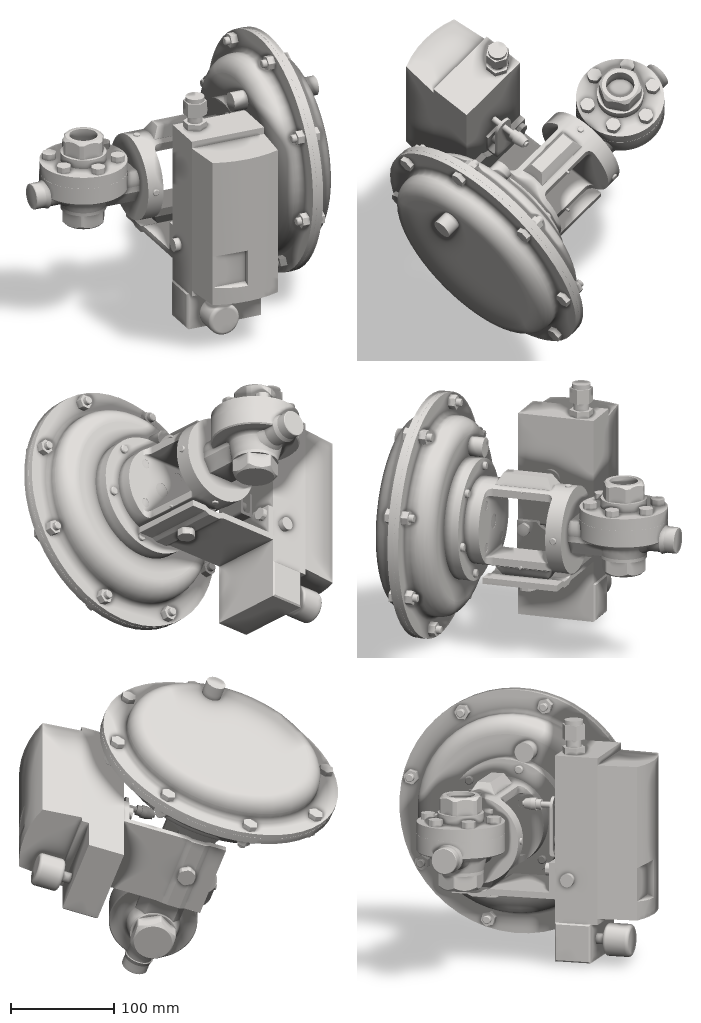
import cadquery as cq
import math


DIAPHRAGM_Y = 194.7
DIAPHRAGM_RADIUS = 241.5 / 2
DIAPHRAGM_THICKNESS = 2.5
RIM_RADIUS = 241.0 / 2
RIM_HALF_THICKNESS = 11.0 / 2
DISH_RADIUS = 98.5
NEAR_DISH_DEPTH = 31.0
FAR_DISH_DEPTH = 30.5
DISH_ROUNDING = 16.5
RIM_FILLET = 4.0

RIM_BOLT_COUNT = 8
RIM_BOLT_CIRCLE_RADIUS = 110.8
RIM_BOLT_FIRST_ANGLE = 30
RIM_HEAD_FLATS = 13.0
RIM_NUT_FLATS = 12.7
RIM_NUT_TURNED_DIAMETER = 14.5
RIM_HEAD_HEIGHT = 5.3
RIM_NUT_HEIGHT = 7.0
STUD_DIAMETER = 8.0
STUD_TIP_DIAMETER = 6.5
STUD_LENGTH = 11.8

AIR_PORT_X = 18.3
AIR_PORT_Z = 67.7
AIR_PORT_RADIUS = 19.2 / 2
AIR_PORT_LENGTH = 14.5

MOUNT_RADIUS = 120.0 / 2
MOUNT_THICKNESS = 14.5
MOUNT_SCREW_COUNT = 6
MOUNT_SCREW_CIRCLE_RADIUS = 52.3
MOUNT_SCREW_FIRST_ANGLE = 15
MOUNT_SCREW_DIAMETER = 8.3
MOUNT_SCREW_HEIGHT = 3.2

YOKE_RADIUS = 86.0 / 2
YOKE_END_Y = 49.3
WINDOW_NEAR_Y = 65.5
WINDOW_FAR_Y = 134.0
WINDOW_HALF_HEIGHT = 62.3 / 2
WINDOW_FLOOR_FILLET = 1.8
ARM_HALF_WIDTH = 18.5
WINDOW_CORNER_RADIUS = 6.2

RIB_Y = 99.0
RIB_LENGTH = 58.0
RIB_WIDTH = 25.5
RIB_BASE_Z = 41.5
RIB_TOP_Z = 52.0
RIB_SLOPE_RUN = 6.2

MARK_DIAMETER = 2.7
MARK_LENGTH = 3.2
MARK_Z = 38.0
STEM_HOLE_DIAMETER = 14.8
SCREW_HOLE_DIAMETER = 9.5
SCREW_HOLE_SPACING = 42.5
HOLE_DEPTH = 0.3
SET_SCREW_DIAMETER = 6.5
SET_SCREW_Y = 57.3
SET_SCREW_PROTRUSION = 1.8
SET_SCREW_CHAMFER = 0.5

VALVE_RADIUS = 86.0 / 2
VALVE_LID_RADIUS = 85.7 / 2
VALVE_BOTTOM_Z = -1.0
VALVE_EDGE_CHAMFER = 1.2
VALVE_SPLIT_Z = 17.0
VALVE_TOP_Z = 29.0
COLLAR_RADIUS = 22.5
COLLAR_TOP_Z = 37.8
VALVE_BOLT_COUNT = 6
VALVE_BOLT_CIRCLE_RADIUS = 33.5
VALVE_BOLT_FLATS = 13.0
VALVE_BOLT_TURNED_DIAMETER = 14.0
VALVE_BOLT_HEIGHT = 6.2

TOP_PORT_FLATS = 37.8
TOP_PORT_TURNED_DIAMETER = 41.5
TOP_PORT_Z = 55.0
TOP_PORT_BORE_DIAMETER = 27.5
TOP_PORT_BORE_DEPTH = 14.0
BOTTOM_PORT_FLATS = 39.3
BOTTOM_PORT_TURNED_DIAMETER = 44.5
BOTTOM_PORT_Z = -37.5
PORT_CHAMFER = 1.2

SKIRT_TOP_RADIUS = 26.0
SKIRT_FILLET = 3.8
SKIRT_CONE_BOTTOM_Z = -18.5
SKIRT_BOTTOM_Z = -22.0

NECK_HALF_WIDTH = 22.5
NECK_TOP_HALF_WIDTH = 17.0
NECK_BOTTOM_HALF_WIDTH = 14.5
NECK_TOP_Z = 14.0
NECK_WAIST_Z = -6
NECK_BOTTOM_Z = -19.2

SPIGOT_RADIUS = 25.7 / 2
SPIGOT_END_Y = -55.8
SPIGOT_CHAMFER = 0.5
SPIGOT_FLARES = ((-20.7, -27.5, 16.8), (-41.5, -45.8, 14.5))

CASE_X = 77.5
CASE_DEPTH = 43.0
CASE_NEAR_Y = 59
CASE_FAR_Y = 136.8
CASE_MIDDLE_Y = (CASE_NEAR_Y + CASE_FAR_Y) / 2
CASE_TOP_Z = 86.5
CASE_BOTTOM_Z = -79.0

COVER_TOP_Z = 79.5
COVER_BOTTOM_Z = -72.7
COVER_EDGE_X = 159.5
COVER_CROWN_X = 166.0
COVER_TAPER = 3.8
GRIP_TOP_Z = -20.7
GRIP_BOTTOM_Z = -53.8
GRIP_FLARE = 2.5

SUPPLY_BLOCK_LENGTH = 36.0
SUPPLY_BLOCK_NEAR_Y = 57.5
SUPPLY_BLOCK_BOTTOM_Z = -117.3
SUPPLY_BLOCK_CHAMFER = 1.5
KNOB_Y = 81.2
KNOB_Z = -97.0
KNOB_STEM_RADIUS = 5.3
KNOB_STEM_LENGTH = 9.5
KNOB_RADIUS = 32.2 / 2
KNOB_LENGTH = 26.3
KNOB_ROUNDING = 3.5

FITTING_X = 91.0
FITTING_Y = 76.5
FITTING_FLATS = 20.0
FITTING_BASE_HEIGHT = 6.5
FITTING_NECK_DIAMETER = 14.8
FITTING_NECK_HEIGHT = 7.7
FITTING_NUT_HEIGHT = 14.5
FITTING_TIP_DIAMETER = 18.3
FITTING_TIP_HEIGHT = 4.5

VENT_Z = -35.5
VENT_RADIUS = 6.5
VENT_LENGTH = 6.2

BRACKET_THICKNESS = 6.2
BRACKET_END_X = -27.8
BRACKET_NEAR_Y = 58.8
BRACKET_FAR_Y = 135.5
BRACKET_TOP_Z = -49.5
BRACKET_WALL_TOP_Z = -20.0
BEND_HALF_WIDTH = 11.5
BEND_FLOOR_HALF_WIDTH = 6.5
SCALLOP_HALF_WIDTH = 17.5
SCALLOP_DEPTH = 9.2
RIB_BOLT_FLATS = 16.2
RIB_BOLT_TURNED_DIAMETER = 17.5
RIB_BOLT_HEIGHT = 7.0
CASE_BOLT_YS = (66.8, 128.0)
CASE_BOLT_Z = -28.0
CASE_BOLT_FLATS = 11.8
CASE_BOLT_TURNED_DIAMETER = 12.5
CASE_BOLT_HEIGHT = 4.7

LEVER_Y = 99.0
LEVER_WIDTH = 19.8
LEVER_THICKNESS = 3
LEVER_X = 62.5
LEVER_TOP_Z = 37.2
LEVER_BOTTOM_Z = -20.0
LEVER_LEG_TOP_Z = 5.0
LEVER_INNER_BEND_RADIUS = 3
LEVER_OUTER_BEND_RADIUS = 2.5
LEVER_SHAFT_Z = -6.5
LEVER_SHAFT_RADIUS = 5.3
PIN_Z = 28.7
PIN_END_X = 76.2
PIN_STEPS = ((3, 24.5), (5.0, 5.0), (6.2, 4.7))
PIN_NOSE_RADIUS = 4.7
PIN_NOSE_LENGTH = 7.0
PIN_TIP_RADIUS = 2.7
PIN_TIP_LENGTH = 2.0


def rod(radius, start, direction, length):
    """A cylinder from its start point along a direction."""
    return cq.Workplane(cq.Solid.makeCylinder(radius, length, cq.Vector(*start), cq.Vector(*direction)))


def chamfered_rod(radius, start, direction, length, chamfer):
    """A cylinder with its far edge chamfered."""
    far_end = cq.DirectionMinMaxSelector(cq.Vector(*direction), True)
    return rod(radius, start, direction, length).faces(far_end).chamfer(chamfer)


def taper(start_radius, end_radius, start, direction, length):
    """A truncated cone from its start point along a direction."""
    return cq.Workplane(
        cq.Solid.makeCone(start_radius, end_radius, length, cq.Vector(*start), cq.Vector(*direction))
    )


def hexagon(flats, start, direction, corner, height, turned_diameter=None):
    """A hexagonal prism with a corner in a given direction; turning cuts its corners off round."""
    plane = cq.Plane(origin=start, xDir=corner, normal=direction)
    prism = cq.Workplane(plane).polygon(6, flats / math.cos(math.pi / 6)).extrude(height)
    if turned_diameter:
        prism = prism.intersect(cq.Workplane(plane).circle(turned_diameter / 2).extrude(height))
    return prism


def block(x_range, y_range, z_range):
    """A box between two limits along each axis."""
    lows, highs = zip(x_range, y_range, z_range)
    sizes = [high - low for low, high in zip(lows, highs)]
    return cq.Workplane().box(*sizes, centered=False).translate(lows)


def spaced_angles(count, first):
    """Equally spaced angles of a bolt circle, in radians."""
    return [math.radians(first + 360 * index / count) for index in range(count)]


def dish(depth):
    arc_middle = math.sqrt(0.5)
    flat_radius = DISH_RADIUS - DISH_ROUNDING
    wall_end_y = depth - DISH_ROUNDING
    fillet_end_y = RIM_HALF_THICKNESS + RIM_FILLET
    return (
        cq.Workplane("XY")
        .lineTo(RIM_RADIUS, 0)
        .lineTo(RIM_RADIUS, RIM_HALF_THICKNESS)
        .lineTo(DISH_RADIUS + RIM_FILLET, RIM_HALF_THICKNESS)
        .threePointArc(
            (DISH_RADIUS + RIM_FILLET * (1 - arc_middle), fillet_end_y - RIM_FILLET * arc_middle),
            (DISH_RADIUS, fillet_end_y),
        )
        .lineTo(DISH_RADIUS, wall_end_y)
        .threePointArc(
            (flat_radius + DISH_ROUNDING * arc_middle, wall_end_y + DISH_ROUNDING * arc_middle),
            (flat_radius, depth),
        )
        .lineTo(0, depth)
        .close()
        .revolve(360, (0, 0, 0), (0, 1, 0))
    )


def actuator_housing():
    near_dish = dish(NEAR_DISH_DEPTH).mirror("XZ")
    diaphragm = rod(DIAPHRAGM_RADIUS, (0, -DIAPHRAGM_THICKNESS / 2, 0), (0, 1, 0), DIAPHRAGM_THICKNESS)
    housing = dish(FAR_DISH_DEPTH).union(near_dish).union(diaphragm)
    return housing.translate((0, DIAPHRAGM_Y, 0))


def rim_bolt(angle):
    outward = (math.cos(angle), 0, math.sin(angle))
    x = RIM_BOLT_CIRCLE_RADIUS * outward[0]
    z = RIM_BOLT_CIRCLE_RADIUS * outward[2]
    head_seat = (x, DIAPHRAGM_Y + RIM_HALF_THICKNESS, z)
    nut_seat = (x, DIAPHRAGM_Y - RIM_HALF_THICKNESS, z)
    stud_chamfer = (STUD_DIAMETER - STUD_TIP_DIAMETER) / 2
    head = hexagon(RIM_HEAD_FLATS, head_seat, (0, 1, 0), (0, 0, 1), RIM_HEAD_HEIGHT)
    nut = hexagon(RIM_NUT_FLATS, nut_seat, (0, -1, 0), outward, RIM_NUT_HEIGHT, RIM_NUT_TURNED_DIAMETER)
    stud = chamfered_rod(STUD_DIAMETER / 2, nut_seat, (0, -1, 0), STUD_LENGTH, stud_chamfer)
    return [head, nut.union(stud)]


def air_ports():
    far_face = (AIR_PORT_X, DIAPHRAGM_Y + FAR_DISH_DEPTH, AIR_PORT_Z)
    near_face = (AIR_PORT_X, DIAPHRAGM_Y - NEAR_DISH_DEPTH, AIR_PORT_Z)
    far_port = rod(AIR_PORT_RADIUS, far_face, (0, 1, 0), AIR_PORT_LENGTH)
    near_port = rod(AIR_PORT_RADIUS, near_face, (0, -1, 0), AIR_PORT_LENGTH)
    return [far_port, near_port]


def yoke_mount():
    dish_y = DIAPHRAGM_Y - NEAR_DISH_DEPTH
    mount = rod(MOUNT_RADIUS, (0, dish_y, 0), (0, -1, 0), MOUNT_THICKNESS)
    for angle in spaced_angles(MOUNT_SCREW_COUNT, MOUNT_SCREW_FIRST_ANGLE):
        seat = (
            MOUNT_SCREW_CIRCLE_RADIUS * math.cos(angle),
            dish_y - MOUNT_THICKNESS,
            MOUNT_SCREW_CIRCLE_RADIUS * math.sin(angle),
        )
        chamfer = (MOUNT_SCREW_DIAMETER - STUD_TIP_DIAMETER) / 2
        screw = chamfered_rod(MOUNT_SCREW_DIAMETER / 2, seat, (0, -1, 0), MOUNT_SCREW_HEIGHT, chamfer)
        mount = mount.union(screw)
    return mount


def yoke():
    yoke_length = DIAPHRAGM_Y - NEAR_DISH_DEPTH - MOUNT_THICKNESS - YOKE_END_Y
    window_y = (WINDOW_NEAR_Y, WINDOW_FAR_Y)
    body = rod(YOKE_RADIUS, (0, YOKE_END_Y, 0), (0, 1, 0), yoke_length)
    window = block((-YOKE_RADIUS, YOKE_RADIUS), window_y, (-WINDOW_HALF_HEIGHT, WINDOW_HALF_HEIGHT))
    body = body.cut(window.edges("|X").fillet(WINDOW_FLOOR_FILLET))
    side_cut = (
        block((ARM_HALF_WIDTH, 2 * YOKE_RADIUS), window_y, (-YOKE_RADIUS, YOKE_RADIUS))
        .edges("|Z and <X")
        .fillet(WINDOW_CORNER_RADIUS)
    )
    return body.cut(side_cut).cut(side_cut.mirror("YZ"))


def window_holes():
    far_wall = cq.Workplane("XZ", origin=(0, WINDOW_FAR_Y, 0))
    stem_hole = far_wall.circle(STEM_HOLE_DIAMETER / 2).extrude(-HOLE_DEPTH)
    screw_holes = (
        far_wall.rect(SCREW_HOLE_SPACING, SCREW_HOLE_SPACING, forConstruction=True)
        .vertices()
        .circle(SCREW_HOLE_DIAMETER / 2)
        .extrude(-HOLE_DEPTH)
    )
    return stem_hole.union(screw_holes)


def upper_rib():
    height = RIB_TOP_Z - RIB_BASE_Z
    embedded = RIB_BASE_Z - WINDOW_HALF_HEIGHT
    slope = math.degrees(math.atan(RIB_SLOPE_RUN / height))
    base = cq.Workplane("XY", origin=(0, RIB_Y, RIB_BASE_Z)).rect(RIB_WIDTH, RIB_LENGTH)
    foot = cq.Workplane("XY", origin=(0, RIB_Y, RIB_BASE_Z - embedded))
    foot = foot.rect(RIB_WIDTH, RIB_LENGTH).extrude(embedded)
    return base.extrude(height, taper=slope).union(foot)


def upper_stroke_mark():
    root = (0, RIB_Y, MARK_Z)
    return rod(MARK_DIAMETER / 2, root, (-1, 0, 0), ARM_HALF_WIDTH + MARK_LENGTH)


def set_screws():
    length = YOKE_RADIUS + SET_SCREW_PROTRUSION
    directions = ((1, 0, 0), (-1, 0, 0), (0, 0, 1), (0, 0, -1))
    return [
        chamfered_rod(SET_SCREW_DIAMETER / 2, (0, SET_SCREW_Y, 0), direction, length, SET_SCREW_CHAMFER)
        for direction in directions
    ]


def valve_body():
    fillet_shift = SKIRT_FILLET * (1 - math.sqrt(0.5))
    return (
        cq.Workplane("XZ")
        .moveTo(0, VALVE_SPLIT_Z)
        .lineTo(VALVE_RADIUS, VALVE_SPLIT_Z)
        .lineTo(VALVE_RADIUS, VALVE_BOTTOM_Z + VALVE_EDGE_CHAMFER)
        .lineTo(VALVE_RADIUS - VALVE_EDGE_CHAMFER, VALVE_BOTTOM_Z)
        .lineTo(SKIRT_TOP_RADIUS + SKIRT_FILLET, VALVE_BOTTOM_Z)
        .threePointArc(
            (SKIRT_TOP_RADIUS + fillet_shift, VALVE_BOTTOM_Z - fillet_shift),
            (SKIRT_TOP_RADIUS, VALVE_BOTTOM_Z - SKIRT_FILLET),
        )
        .lineTo(COLLAR_RADIUS, SKIRT_CONE_BOTTOM_Z)
        .lineTo(COLLAR_RADIUS, SKIRT_BOTTOM_Z)
        .lineTo(0, SKIRT_BOTTOM_Z)
        .close()
        .revolve(360, (0, 0, 0), (0, 1, 0))
    )


def valve_lid():
    lid = rod(VALVE_LID_RADIUS, (0, 0, VALVE_SPLIT_Z), (0, 0, 1), VALVE_TOP_Z - VALVE_SPLIT_Z)
    collar = rod(COLLAR_RADIUS, (0, 0, VALVE_TOP_Z), (0, 0, 1), COLLAR_TOP_Z - VALVE_TOP_Z)
    return lid.union(collar)


def valve_bolts():
    bolts = []
    for angle in spaced_angles(VALVE_BOLT_COUNT, 0):
        seat = (
            VALVE_BOLT_CIRCLE_RADIUS * math.cos(angle),
            VALVE_BOLT_CIRCLE_RADIUS * math.sin(angle),
            VALVE_TOP_Z,
        )
        bolts.append(
            hexagon(
                VALVE_BOLT_FLATS, seat, (0, 0, 1), (0, 1, 0), VALVE_BOLT_HEIGHT, VALVE_BOLT_TURNED_DIAMETER
            )
        )
    return bolts


def pipe_end(flats, turned_diameter, start_z, end_z):
    up = 1 if end_z > start_z else -1
    height = abs(end_z - start_z)
    start = (0, 0, start_z)
    prism = hexagon(flats, start, (0, 0, up), (0, 1, 0), height)
    envelope = chamfered_rod(
        turned_diameter / 2, start, (0, 0, up), height, (turned_diameter - flats) / 2 + PORT_CHAMFER
    )
    return prism.intersect(envelope)


def top_port():
    port = pipe_end(TOP_PORT_FLATS, TOP_PORT_TURNED_DIAMETER, COLLAR_TOP_Z, TOP_PORT_Z)
    bore = rod(TOP_PORT_BORE_DIAMETER / 2, (0, 0, TOP_PORT_Z), (0, 0, -1), TOP_PORT_BORE_DEPTH)
    return port.cut(bore)


def bottom_port():
    return pipe_end(BOTTOM_PORT_FLATS, BOTTOM_PORT_TURNED_DIAMETER, SKIRT_BOTTOM_Z, BOTTOM_PORT_Z)


def neck():
    shoulder_middle = (
        NECK_TOP_HALF_WIDTH + (NECK_HALF_WIDTH - NECK_TOP_HALF_WIDTH) * math.sqrt(0.5),
        NECK_TOP_Z * math.sqrt(0.5),
    )
    return (
        cq.Workplane("XZ")
        .moveTo(-NECK_TOP_HALF_WIDTH, NECK_TOP_Z)
        .lineTo(NECK_TOP_HALF_WIDTH, NECK_TOP_Z)
        .threePointArc(shoulder_middle, (NECK_HALF_WIDTH, 0))
        .lineTo(NECK_HALF_WIDTH, NECK_WAIST_Z)
        .lineTo(NECK_BOTTOM_HALF_WIDTH, NECK_BOTTOM_Z)
        .lineTo(-NECK_BOTTOM_HALF_WIDTH, NECK_BOTTOM_Z)
        .lineTo(-NECK_HALF_WIDTH, NECK_WAIST_Z)
        .lineTo(-NECK_HALF_WIDTH, 0)
        .threePointArc((-shoulder_middle[0], shoulder_middle[1]), (-NECK_TOP_HALF_WIDTH, NECK_TOP_Z))
        .close()
        .extrude(-YOKE_END_Y)
    )


def spigot():
    barrel = chamfered_rod(SPIGOT_RADIUS, (0, 0, 0), (0, -1, 0), -SPIGOT_END_Y, SPIGOT_CHAMFER)
    flares = [
        taper(start_radius, SPIGOT_RADIUS, (0, start_y, 0), (0, -1, 0), start_y - end_y)
        for start_y, end_y, start_radius in SPIGOT_FLARES
    ]
    return [barrel] + flares


def build_control_valve():
    rib = upper_rib()
    mark = upper_stroke_mark()
    details = [yoke_mount(), yoke(), rib, rib.mirror("XY"), mark, mark.mirror("XY")]
    for angle in spaced_angles(RIM_BOLT_COUNT, RIM_BOLT_FIRST_ANGLE):
        details += rim_bolt(angle)
    details += air_ports() + set_screws()
    details += [valve_body(), valve_lid(), top_port(), bottom_port(), neck()]
    details += valve_bolts() + spigot()
    body = actuator_housing()
    for detail in details:
        body = body.union(detail)
    return body.cut(window_holes())


def positioner_case():
    return block(
        (CASE_X, CASE_X + CASE_DEPTH), (CASE_NEAR_Y, CASE_FAR_Y), (CASE_BOTTOM_Z, CASE_TOP_Z)
    )


def positioner_cover():
    case_front_x = CASE_X + CASE_DEPTH
    cover = (
        cq.Workplane("XY", origin=(0, 0, COVER_BOTTOM_Z))
        .moveTo(case_front_x, CASE_NEAR_Y)
        .lineTo(COVER_EDGE_X, CASE_NEAR_Y + COVER_TAPER)
        .threePointArc((COVER_CROWN_X, CASE_MIDDLE_Y), (COVER_EDGE_X, CASE_FAR_Y - COVER_TAPER))
        .lineTo(case_front_x, CASE_FAR_Y)
        .close()
        .extrude(COVER_TOP_Z - COVER_BOTTOM_Z)
    )
    grip = (
        cq.Workplane("XZ", origin=(0, CASE_MIDDLE_Y, 0))
        .moveTo(COVER_EDGE_X, GRIP_TOP_Z)
        .lineTo(COVER_CROWN_X, GRIP_TOP_Z + GRIP_FLARE)
        .lineTo(COVER_CROWN_X, GRIP_BOTTOM_Z - GRIP_FLARE)
        .lineTo(COVER_EDGE_X, GRIP_BOTTOM_Z)
        .close()
        .extrude(CASE_MIDDLE_Y - CASE_NEAR_Y)
    )
    return cover.cut(grip)


def supply_regulator():
    block_end_x = CASE_X + SUPPLY_BLOCK_LENGTH
    body = (
        block(
            (CASE_X, block_end_x), (SUPPLY_BLOCK_NEAR_Y, CASE_FAR_Y), (SUPPLY_BLOCK_BOTTOM_Z, CASE_BOTTOM_Z)
        )
        .faces("<Y")
        .chamfer(SUPPLY_BLOCK_CHAMFER)
    )
    stem = rod(KNOB_STEM_RADIUS, (block_end_x, KNOB_Y, KNOB_Z), (1, 0, 0), KNOB_STEM_LENGTH)
    knob_start = (block_end_x + KNOB_STEM_LENGTH, KNOB_Y, KNOB_Z)
    knob = rod(KNOB_RADIUS, knob_start, (1, 0, 0), KNOB_LENGTH).edges().fillet(KNOB_ROUNDING)
    return [body, stem, knob]


def tube_fitting():
    base_z = CASE_TOP_Z
    neck_z = base_z + FITTING_BASE_HEIGHT
    nut_z = neck_z + FITTING_NECK_HEIGHT
    tip_z = nut_z + FITTING_NUT_HEIGHT
    up = (0, 0, 1)
    corner = (1, 0, 0)
    return [
        hexagon(FITTING_FLATS, (FITTING_X, FITTING_Y, base_z), up, corner, FITTING_BASE_HEIGHT),
        rod(FITTING_NECK_DIAMETER / 2, (FITTING_X, FITTING_Y, neck_z), up, FITTING_NECK_HEIGHT),
        hexagon(FITTING_FLATS, (FITTING_X, FITTING_Y, nut_z), up, corner, FITTING_NUT_HEIGHT),
        rod(FITTING_TIP_DIAMETER / 2, (FITTING_X, FITTING_Y, tip_z), up, FITTING_TIP_HEIGHT),
    ]


def vent_plug():
    return rod(VENT_RADIUS, (FITTING_X, CASE_NEAR_Y, VENT_Z), (0, -1, 0), VENT_LENGTH)


def bracket():
    wall_x = CASE_X - BRACKET_THICKNESS
    bottom_z = BRACKET_TOP_Z - BRACKET_THICKNESS
    dip_top_z = -RIB_TOP_Z
    dip_bottom_z = dip_top_z - BRACKET_THICKNESS
    angle = (
        cq.Workplane("XZ", origin=(0, BRACKET_FAR_Y, 0))
        .polyline(
            [
                (BRACKET_END_X, BRACKET_TOP_Z),
                (-BEND_HALF_WIDTH, BRACKET_TOP_Z),
                (-BEND_FLOOR_HALF_WIDTH, dip_top_z),
                (BEND_FLOOR_HALF_WIDTH, dip_top_z),
                (BEND_HALF_WIDTH, BRACKET_TOP_Z),
                (wall_x, BRACKET_TOP_Z),
                (wall_x, BRACKET_WALL_TOP_Z),
                (CASE_X, BRACKET_WALL_TOP_Z),
                (CASE_X, bottom_z),
                (BEND_HALF_WIDTH, bottom_z),
                (BEND_FLOOR_HALF_WIDTH, dip_bottom_z),
                (-BEND_FLOOR_HALF_WIDTH, dip_bottom_z),
                (-BEND_HALF_WIDTH, bottom_z),
                (BRACKET_END_X, bottom_z),
            ]
        )
        .close()
        .extrude(BRACKET_FAR_Y - BRACKET_NEAR_Y)
    )
    scallop = (
        cq.Workplane("YZ", origin=(wall_x, 0, 0))
        .moveTo(CASE_MIDDLE_Y - SCALLOP_HALF_WIDTH, BRACKET_WALL_TOP_Z)
        .threePointArc(
            (CASE_MIDDLE_Y, BRACKET_WALL_TOP_Z - SCALLOP_DEPTH),
            (CASE_MIDDLE_Y + SCALLOP_HALF_WIDTH, BRACKET_WALL_TOP_Z),
        )
        .close()
        .extrude(BRACKET_THICKNESS)
    )
    return angle.cut(scallop)


def bracket_bolts():
    rib_bolt_seat = (0, RIB_Y, -RIB_TOP_Z - BRACKET_THICKNESS)
    bolts = [
        hexagon(
            RIB_BOLT_FLATS, rib_bolt_seat, (0, 0, -1), (0, 1, 0), RIB_BOLT_HEIGHT, RIB_BOLT_TURNED_DIAMETER
        )
    ]
    for y in CASE_BOLT_YS:
        seat = (CASE_X - BRACKET_THICKNESS, y, CASE_BOLT_Z)
        bolts.append(
            hexagon(
                CASE_BOLT_FLATS, seat, (-1, 0, 0), (0, 0, 1), CASE_BOLT_HEIGHT, CASE_BOLT_TURNED_DIAMETER
            )
        )
    return bolts


def lever():
    far_y = LEVER_Y + LEVER_WIDTH / 2
    near_y = LEVER_Y - LEVER_WIDTH / 2
    arm_inner_x = LEVER_X + LEVER_THICKNESS
    leg_inner_x = CASE_X - LEVER_THICKNESS
    strip = block((LEVER_X, CASE_X), (near_y, far_y), (LEVER_BOTTOM_Z, LEVER_TOP_Z))
    strip = strip.edges("|Y and <Z").fillet(LEVER_OUTER_BEND_RADIUS)
    gap = block((arm_inner_x, leg_inner_x), (near_y, far_y), (LEVER_BOTTOM_Z + LEVER_THICKNESS, LEVER_TOP_Z))
    gap = gap.edges("|Y and <Z").fillet(LEVER_INNER_BEND_RADIUS)
    above_leg = block((leg_inner_x, CASE_X), (near_y, far_y), (LEVER_LEG_TOP_Z, LEVER_TOP_Z))
    bent_strip = strip.cut(gap).cut(above_leg)
    end_radius = LEVER_WIDTH / 2
    end_corners = block((LEVER_X, arm_inner_x), (near_y, far_y), (LEVER_TOP_Z - end_radius, LEVER_TOP_Z))
    round_end = rod(end_radius, (LEVER_X, LEVER_Y, LEVER_TOP_Z - end_radius), (1, 0, 0), LEVER_THICKNESS)
    bent_strip = bent_strip.cut(end_corners).union(round_end)
    shaft = rod(LEVER_SHAFT_RADIUS, (LEVER_X, LEVER_Y, LEVER_SHAFT_Z), (1, 0, 0), CASE_X - LEVER_X)
    return [bent_strip, shaft]


def feeler_pin():
    outwards = (-1, 0, 0)
    x = PIN_END_X
    pieces = []
    for radius, length in PIN_STEPS:
        pieces.append(rod(radius, (x, LEVER_Y, PIN_Z), outwards, length))
        x -= length
    largest_radius = PIN_STEPS[-1][0]
    pieces.append(taper(largest_radius, PIN_NOSE_RADIUS, (x, LEVER_Y, PIN_Z), outwards, PIN_NOSE_LENGTH))
    x -= PIN_NOSE_LENGTH
    pieces.append(rod(PIN_TIP_RADIUS, (x, LEVER_Y, PIN_Z), outwards, PIN_TIP_LENGTH))
    return pieces


def build_positioner():
    details = [positioner_cover(), vent_plug(), bracket()]
    details += supply_regulator() + tube_fitting() + bracket_bolts() + lever() + feeler_pin()
    body = positioner_case()
    for detail in details:
        body = body.union(detail)
    return body


control_valve = build_control_valve()
positioner = build_positioner()

result = cq.Compound.makeCompound([control_valve.val(), positioner.val()])